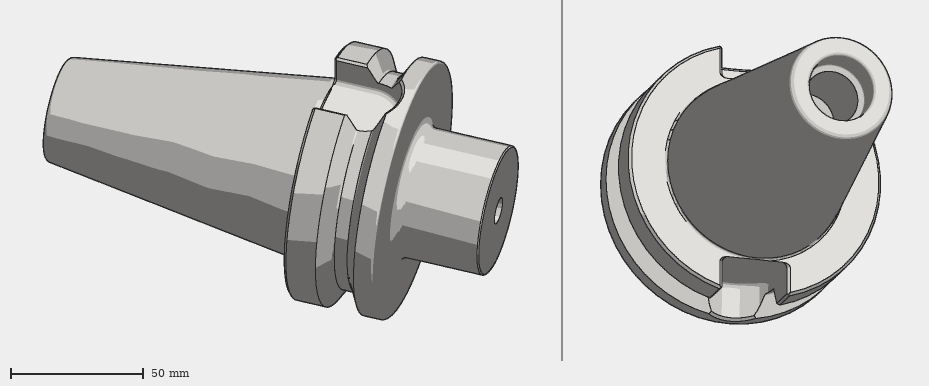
import cadquery as cq
import math

length = 173.8
taper_end = 101.8
flange_front = 104.8
flange_back = 139.9
groove_centre = 125.0

gauge_radius = 35.0
taper_slope = 7 / 24 / 2
tip_radius = gauge_radius - taper_slope * taper_end
flange_radius = 100.0 / 2
groove_radius = 42.2
boss_radius = 25.0

groove_wall_angle = 30
groove_floor_width = 6.0
groove_wall_run = (flange_radius - groove_radius) * math.tan(math.radians(groove_wall_angle))
groove_floor_start = groove_centre - groove_floor_width / 2
groove_floor_end = groove_centre + groove_floor_width / 2

tip_fillet = 2.0
neck_fillet = 0.9
flange_chamfer = 1.0
flange_back_fillet = 0.9
boss_fillet = 3.6
boss_chamfer = 0.5
groove_fillet = 0.9

through_radius = 5.0
thread_radius = 10.5
recess_radius = 12.7
mouth_fillet = 1.2
recess_fillet = 0.9
recess_depth = 11.5
thread_depth = 41.7
cone_half_angle = 59

slot_half_width = 12.9
slot_floor = 35.3
slot_end_centre = 122.2
slot_floor_fillet = 2.0
slot_chamfer = 1.0

screw_radius = 5.9
screw_station = 160.8

tolerance = 0.2


def ring_selector(x, radius):
    """Select the circular edge of the given radius at station x."""

    def box(half_side):
        low = (x - tolerance, -half_side, -half_side)
        high = (x + tolerance, half_side, half_side)
        return cq.selectors.BoxSelector(low, high, boundingbox=True)

    return box(radius + tolerance) - box(radius - tolerance)


def make_body():
    """Taper, neck, grooved flange and boss as one revolved outline."""
    outline = [
        (0, 0),
        (0, tip_radius),
        (taper_end, gauge_radius),
        (flange_front, gauge_radius),
        (flange_front, flange_radius),
        (groove_floor_start - groove_wall_run, flange_radius),
        (groove_floor_start, groove_radius),
        (groove_floor_end, groove_radius),
        (groove_floor_end + groove_wall_run, flange_radius),
        (flange_back, flange_radius),
        (flange_back, boss_radius),
        (length, boss_radius),
        (length, 0),
    ]
    body = cq.Workplane("XY").polyline(outline).close().revolve(360, (0, 0), (1, 0))

    def circle_at(x, radius):
        return body.edges(ring_selector(x, radius))

    body = circle_at(groove_floor_start, groove_radius).fillet(groove_fillet)
    body = circle_at(groove_floor_end, groove_radius).fillet(groove_fillet)
    body = circle_at(0, tip_radius).fillet(tip_fillet)
    body = circle_at(flange_front, gauge_radius).fillet(neck_fillet)
    body = circle_at(flange_front, flange_radius).chamfer(flange_chamfer)
    body = circle_at(flange_back, flange_radius).fillet(flange_back_fillet)
    body = circle_at(flange_back, boss_radius).fillet(boss_fillet)
    return circle_at(length, boss_radius).chamfer(boss_chamfer)


def make_bore():
    """Recess, threaded bore, drill point and through hole as one revolved cutter."""
    cone_slope = math.tan(math.radians(cone_half_angle))
    recess_cone_length = (recess_radius - thread_radius) / cone_slope
    point_length = (thread_radius - through_radius) / cone_slope
    mouth_radius = recess_radius + mouth_fillet
    outline = (
        cq.Workplane("XY")
        .lineTo(0, mouth_radius)
        .radiusArc((mouth_fillet, recess_radius), -mouth_fillet)
        .lineTo(recess_depth, recess_radius)
        .lineTo(recess_depth + recess_cone_length, thread_radius)
        .lineTo(thread_depth, thread_radius)
        .lineTo(thread_depth + point_length, through_radius)
        .lineTo(length, through_radius)
        .lineTo(length, 0)
        .close()
    )
    bore = outline.revolve(360, (0, 0), (1, 0))
    return bore.edges(ring_selector(recess_depth, recess_radius)).fillet(recess_fillet)


def make_slot():
    """Cutter for the +Z slot: round inner end, flared mouth and rounded floor edge."""
    mouth_half_width = slot_half_width + slot_chamfer
    cutter_start = flange_front - neck_fillet
    flare_end = flange_front + slot_chamfer
    cutter = (
        cq.Workplane("XY", origin=(0, 0, slot_floor))
        .moveTo(cutter_start, mouth_half_width)
        .lineTo(flange_front, mouth_half_width)
        .lineTo(flare_end, slot_half_width)
        .lineTo(slot_end_centre, slot_half_width)
        .threePointArc((slot_end_centre + slot_half_width, 0), (slot_end_centre, -slot_half_width))
        .lineTo(flare_end, -slot_half_width)
        .lineTo(flange_front, -mouth_half_width)
        .lineTo(cutter_start, -mouth_half_width)
        .close()
        .extrude(flange_radius)
    )
    open_edge = cq.selectors.BoxSelector(
        (cutter_start - tolerance, -tolerance, slot_floor - tolerance),
        (cutter_start + tolerance, tolerance, slot_floor + tolerance),
    )
    wall_foot = cq.selectors.StringSyntaxSelector("<Z") - open_edge
    return cutter.faces("<Z").edges(wall_foot).fillet(slot_floor_fillet)


def make_screw_hole():
    """Radial hole from the +Y side of the boss into the axial bore."""
    return cq.Workplane("XZ", origin=(screw_station, 0, 0)).circle(screw_radius).extrude(-flange_radius)


def break_slot_rims(body):
    """Chamfer the slot edges that lie on the outer flange surface."""
    rim_start = flange_front + slot_chamfer
    rim_end = slot_end_centre + slot_half_width
    rim_low = math.sqrt(flange_radius**2 - slot_half_width**2) - tolerance
    half_box = slot_half_width + tolerance
    for low, high in ((rim_low, flange_radius), (-flange_radius, -rim_low)):
        rim = cq.selectors.BoxSelector((rim_start, -half_box, low), (rim_end, half_box, high))
        body = body.edges(rim).chamfer(slot_chamfer)
    return body


slot = make_slot()
result = make_body().cut(slot).cut(slot.rotate((0, 0, 0), (1, 0, 0), 180))
result = break_slot_rims(result)
result = result.cut(make_bore()).cut(make_screw_hole())